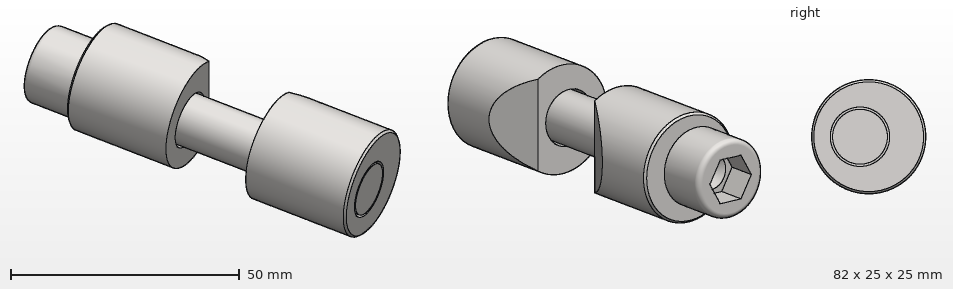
import cadquery as cq
import math


collar_diameter = 25.0
collar_length = 25.0
collar_gap = 20.0
collar_chamfer = 0.5
bevel_length = 10.0
bevel_angle = 30.0

shank_diameter = 12.0
head_diameter = 1.5 * shank_diameter
head_length = shank_diameter
head_edge_radius = 1.2
screw_offset_y = -1.9
hex_across_flats = 10.0
hex_depth = 6.8
drill_point_diameter = 8.0
drill_point_angle = 120.0
shank_clearance = 1.0

collar_radius = collar_diameter / 2
bevel_depth = bevel_length * math.tan(math.radians(bevel_angle))
hole_diameter = shank_diameter + shank_clearance
shank_length = 2 * collar_length + collar_gap
hex_across_corners = hex_across_flats / math.cos(math.pi / 6)
drill_point_radius = drill_point_diameter / 2
drill_point_depth = drill_point_radius / math.tan(math.radians(drill_point_angle / 2))


def rod_along_x(start_x, length, diameter, center_y=0.0):
    """Solid cylinder parallel to X, starting at start_x and running toward +X."""
    plane = cq.Workplane("YZ", origin=(start_x, center_y, 0))
    return plane.circle(diameter / 2).extrude(length)


def make_collar(outer_x, inner_x):
    """Collar with a chamfered outer end, a bevelled +Y side at its inner end and a clearance hole."""
    inward = math.copysign(1, inner_x - outer_x)
    outer_end = "<X" if inward > 0 else ">X"
    body = rod_along_x(min(outer_x, inner_x), collar_length, collar_diameter)
    body = body.faces(outer_end).edges().chamfer(collar_chamfer)

    bevel = (
        cq.Workplane("XY")
        .moveTo(inner_x - inward * bevel_length, collar_radius)
        .lineTo(inner_x, collar_radius - bevel_depth)
        .lineTo(inner_x, collar_radius)
        .close()
        .extrude(collar_radius, both=True)
    )
    hole = rod_along_x(min(outer_x, inner_x), collar_length, hole_diameter, screw_offset_y)
    return body.cut(bevel).cut(hole)


def make_drill_point(start_x):
    """Conical bottom of the hexagon socket, narrowing toward +X."""
    return (
        cq.Workplane("XY", origin=(start_x, screw_offset_y, 0))
        .polyline([(0, 0), (0, drill_point_radius), (drill_point_depth, 0)])
        .close()
        .revolve(360, (0, 0, 0), (1, 0, 0))
    )


def make_screw():
    """Socket head screw: its head seats at X = 0 and its shank runs to the far collar's end."""
    head = rod_along_x(-head_length, head_length, head_diameter, screw_offset_y)
    head = head.faces("<X").edges().fillet(head_edge_radius)
    shank = rod_along_x(0, shank_length, shank_diameter, screw_offset_y)

    hex_socket = (
        cq.Workplane("YZ", origin=(-head_length, screw_offset_y, 0))
        .polygon(6, hex_across_corners)
        .extrude(hex_depth)
    )
    drill_point = make_drill_point(-head_length + hex_depth)
    return head.union(shank).cut(hex_socket).cut(drill_point)


screw = make_screw()
collar_ends = [
    (0, collar_length),
    (shank_length, shank_length - collar_length),
]
collars = [make_collar(outer_x, inner_x) for outer_x, inner_x in collar_ends]

result = cq.Compound.makeCompound([screw.val(), *[collar.val() for collar in collars]])